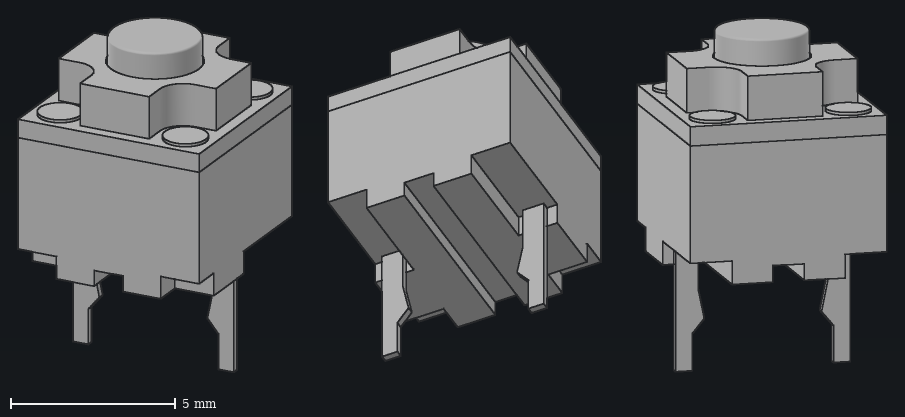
import cadquery as cq

total_height = 10.55
housing_bottom = 3.3
cover_bottom = 7.7
cover_top = 8.3
boss_top = 9.68

body_width = 6.2
half_width = body_width / 2
recess_height = 0.74
recess_inner_x = 1.78
front_notch_y = -2.14
groove_width = 0.99
groove_height = 0.52

cross_length = 5.39
cross_arm_width = 2.36
cross_corner_radius = 0.79

button_diameter = 2.9
bore_diameter = 3.0
button_edge_radius = 0.11

rivet_diameter = 1.4
rivet_height = 0.1
rivet_spacing = 4.28

lead_thickness = 0.23
lead_outer_x = 2.75
lead_upper_width = 0.72
lead_bump_width = 0.91
lead_tip_width = 0.53
bump_top = 2.53
bump_peak = 1.61
bump_bottom = 1.16
lead_top = housing_bottom + recess_height


def box_between(x_range, y_range, z_range):
    """Box spanning the given coordinate ranges."""
    sizes = [high - low for low, high in (x_range, y_range, z_range)]
    corner = (x_range[0], y_range[0], z_range[0])
    return cq.Workplane("XY").box(*sizes, centered=False).translate(corner)


def make_housing():
    """Block with four corner recesses and a groove across its underside."""
    faces = (-half_width, half_width)
    housing = box_between(faces, faces, (housing_bottom, cover_bottom))
    recess_z = (housing_bottom, lead_top)
    for recess_x in ((-half_width, -recess_inner_x), (recess_inner_x, half_width)):
        front_notch = box_between(recess_x, (-half_width, front_notch_y), recess_z)
        rear_recess = box_between(recess_x, (-lead_thickness / 2, half_width), recess_z)
        housing = housing.cut(front_notch).cut(rear_recess)
    groove = box_between(
        (-groove_width / 2, groove_width / 2),
        faces,
        (housing_bottom, housing_bottom + groove_height),
    )
    return housing.cut(groove)


def make_cover():
    """Square plate with a cross-shaped boss and a bore for the button."""
    plate_thickness = cover_top - cover_bottom
    boss_height = boss_top - cover_top
    plate = (
        cq.Workplane("XY", origin=(0, 0, cover_bottom))
        .rect(body_width, body_width)
        .extrude(plate_thickness)
    )
    boss_plane = cq.Workplane("XY", origin=(0, 0, cover_top))
    arm_along_x = boss_plane.rect(cross_length, cross_arm_width).extrude(boss_height)
    arm_along_y = boss_plane.rect(cross_arm_width, cross_length).extrude(boss_height)
    half_arm = cross_arm_width / 2
    selection_margin = 0.11
    inner_corners = cq.selectors.BoxSelector(
        (-half_arm - selection_margin, -half_arm - selection_margin, cover_top),
        (half_arm + selection_margin, half_arm + selection_margin, boss_top),
    )
    boss = arm_along_x.union(arm_along_y).edges("|Z").edges(inner_corners).fillet(cross_corner_radius)
    bore = (
        cq.Workplane("XY", origin=(0, 0, cover_bottom))
        .circle(bore_diameter / 2)
        .extrude(boss_top - cover_bottom)
    )
    return plate.union(boss).cut(bore)


def make_button():
    """Round button with a rounded top edge, standing on the housing."""
    return (
        cq.Workplane("XY", origin=(0, 0, cover_bottom))
        .circle(button_diameter / 2)
        .extrude(total_height - cover_bottom)
        .faces(">Z")
        .edges()
        .fillet(button_edge_radius)
    )


def make_rivet(x, y):
    """Flat round rivet head on the cover."""
    return cq.Workplane("XY", origin=(x, y, cover_top)).circle(rivet_diameter / 2).extrude(rivet_height)


def make_lead(side):
    """Flat lead with an inward snap bump; side is -1 or +1 along X."""
    outline = [
        (lead_outer_x, 0),
        (lead_outer_x, lead_top),
        (lead_outer_x - lead_upper_width, lead_top),
        (lead_outer_x - lead_upper_width, bump_top),
        (lead_outer_x - lead_bump_width, bump_peak),
        (lead_outer_x - lead_tip_width, bump_bottom),
        (lead_outer_x - lead_tip_width, 0),
    ]
    return (
        cq.Workplane("XZ")
        .polyline([(side * x, z) for x, z in outline])
        .close()
        .extrude(lead_thickness / 2, both=True)
    )


housing = make_housing()
cover = make_cover()
button = make_button()
leads = [make_lead(side) for side in (-1, 1)]
rivets = [
    make_rivet(side_x * rivet_spacing / 2, side_y * rivet_spacing / 2)
    for side_x in (-1, 1)
    for side_y in (-1, 1)
]

result = cq.Compound.makeCompound(
    [body.val() for body in (housing, cover, button, *leads, *rivets)]
)